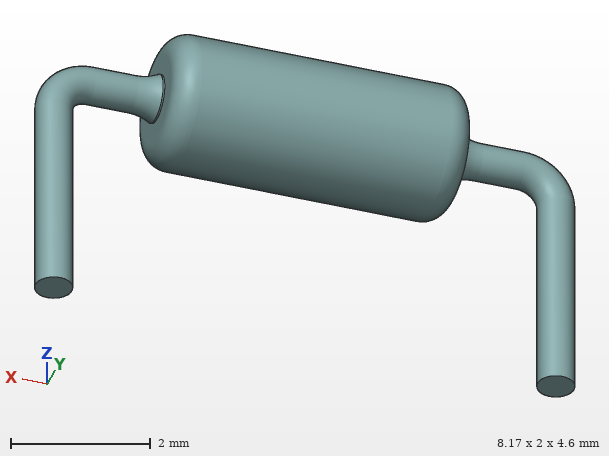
import cadquery as cq
import math

overall_length = 8.17
overall_height = 4.6

body_diameter = 2.0
body_length = 4.5
body_edge_radius = 0.34

lead_diameter = 0.55
bend_radius = lead_diameter
flare_length = 0.34
rim_thickness = 0.025
flare_end_radius = 0.36

lead_radius = lead_diameter / 2
lead_x = overall_length / 2 - lead_radius
lead_bottom_z = body_diameter / 2 - overall_height
body_end_x = body_length / 2
rim_end_x = body_end_x + rim_thickness
flare_start_x = rim_end_x + flare_length


def make_body():
    """Cylinder along X with rounded end edges."""
    cylinder = cq.Workplane("YZ", origin=(-body_end_x, 0, 0)).circle(body_diameter / 2).extrude(body_length)
    return cylinder.edges("%CIRCLE").fillet(body_edge_radius).val()


def make_flare():
    """Trumpet-shaped root of the lead: an arc tangent to the straight wire and a thin rim, revolved about X."""
    rise = flare_end_radius - lead_radius
    arc_radius = (flare_length**2 + rise**2) / (2 * rise)
    half_angle = math.asin(flare_length / arc_radius) / 2
    arc_middle = (
        flare_start_x - arc_radius * math.sin(half_angle),
        lead_radius + arc_radius * (1 - math.cos(half_angle)),
    )
    return (
        cq.Workplane("XZ")
        .moveTo(body_end_x, 0)
        .lineTo(flare_start_x, 0)
        .lineTo(flare_start_x, lead_radius)
        .threePointArc(arc_middle, (rim_end_x, flare_end_radius))
        .lineTo(body_end_x, flare_end_radius)
        .close()
        .revolve(360, (0, 0, 0), (1, 0, 0))
    )


def make_lead():
    """Round wire on the +X side: flared root, straight run, quarter bend and vertical leg."""
    bend_start_x = lead_x - bend_radius
    bend_middle = (
        bend_start_x + bend_radius * math.sin(math.radians(45)),
        bend_radius * (math.cos(math.radians(45)) - 1),
    )
    path = (
        cq.Workplane("XZ")
        .moveTo(flare_start_x, 0)
        .lineTo(bend_start_x, 0)
        .threePointArc(bend_middle, (lead_x, -bend_radius))
        .lineTo(lead_x, lead_bottom_z)
    )
    wire = cq.Workplane("YZ", origin=(flare_start_x, 0, 0)).circle(lead_radius).sweep(path)
    return wire.union(make_flare()).val()


body = make_body()

leads = []
for turn in (0, 180):
    leads.append(make_lead().rotate(cq.Vector(0, 0, 0), cq.Vector(0, 0, 1), turn))

result = cq.Compound.makeCompound([body, *leads])